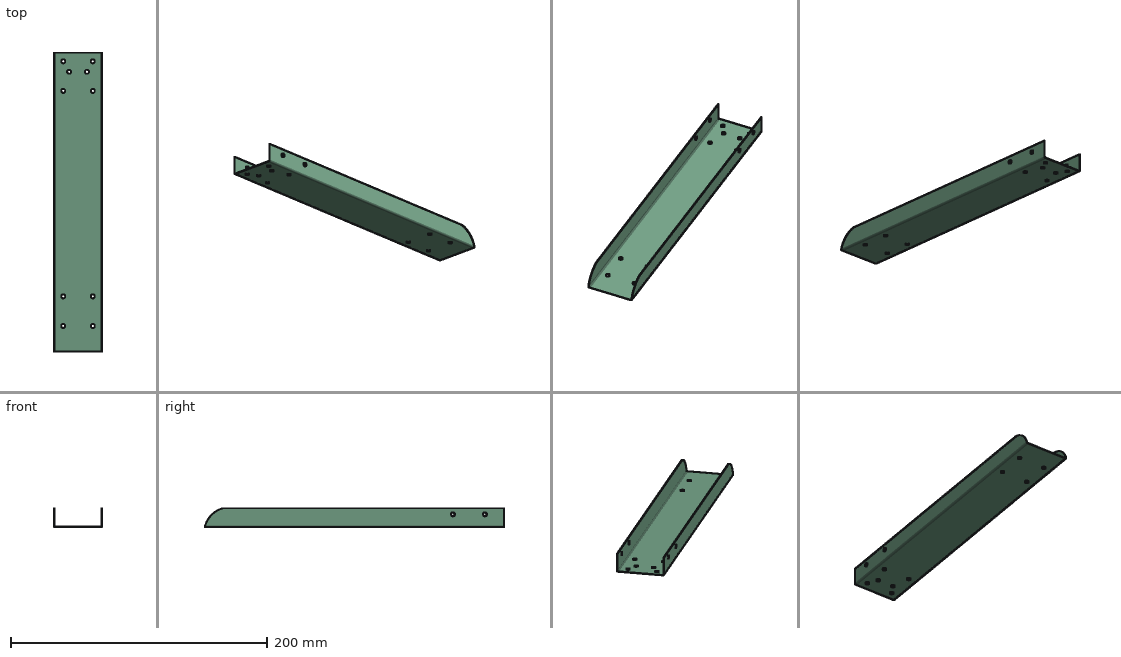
import cadquery as cq
import math

length = 233.5
width = 38.0
height = 15.0
thickness = 0.7
bend_inner_radius = 0.35
bend_outer_radius = bend_inner_radius + thickness

nose_length = 14.0
nose_radius = 20.0
nose_start_height = bend_outer_radius

hole_diameter = 3.0
mount_pitch = 23.0
rear_mount_inset = 6.8
front_mount_inset = 20.0
pair_pitch = 14.0
pair_inset = 15.0
wall_hole_inset = 14.7
wall_hole_pitch = 25.0
left_wall_hole_shift = 0.7
wall_hole_drop = 5.0

rear_y = length / 2
front_y = -length / 2


def make_channel():
    """U-shaped channel with rounded bends along both lower edges."""
    inner_width = width - 2 * thickness
    outer = cq.Workplane("XY").box(width, length, height, centered=(True, True, False))
    outer = outer.edges("|Y and <Z").fillet(bend_outer_radius)
    inner = cq.Workplane("XY").box(inner_width, length, height, centered=(True, True, False))
    inner = inner.edges("|Y and <Z").fillet(bend_inner_radius)
    return outer.cut(inner.translate((0, 0, thickness)))


def make_nose_cutter():
    """Material in front of the convex arc that ends both side walls."""
    rise = height - nose_start_height
    chord = math.hypot(nose_length, rise)
    bulge = nose_radius - math.sqrt(nose_radius**2 - (chord / 2) ** 2)
    arc_middle = (
        front_y + nose_length / 2 - bulge * rise / chord,
        nose_start_height + rise / 2 + bulge * nose_length / chord,
    )
    return (
        cq.Workplane("YZ")
        .moveTo(front_y, nose_start_height)
        .threePointArc(arc_middle, (front_y + nose_length, height))
        .lineTo(front_y, height)
        .close()
        .extrude(width / 2, both=True)
    )


def make_floor_holes():
    """Two square groups of four holes and a closer pair near the rear end."""
    mount_x = mount_pitch / 2
    mount_rows = (
        rear_y - rear_mount_inset,
        rear_y - rear_mount_inset - mount_pitch,
        front_y + front_mount_inset + mount_pitch,
        front_y + front_mount_inset,
    )
    points = [(side * mount_x, y) for y in mount_rows for side in (-1, 1)]
    points += [(side * pair_pitch / 2, rear_y - pair_inset) for side in (-1, 1)]
    return cq.Workplane("XY").pushPoints(points).circle(hole_diameter / 2).extrude(height)


def make_wall_holes(side, shift):
    """Two holes through one side wall (side is -1 or 1), shifted toward the front."""
    first_y = rear_y - wall_hole_inset - shift
    hole_z = height - wall_hole_drop
    points = [(first_y, hole_z), (first_y - wall_hole_pitch, hole_z)]
    return cq.Workplane("YZ").pushPoints(points).circle(hole_diameter / 2).extrude(side * width / 2)


result = make_channel().cut(make_nose_cutter()).cut(make_floor_holes())
result = result.cut(make_wall_holes(-1, left_wall_hole_shift))
result = result.cut(make_wall_holes(1, 0))